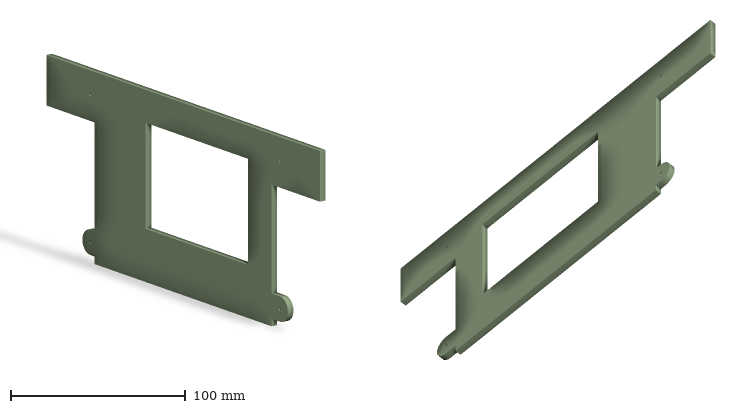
import cadquery as cq

length = 255.0
height = 114.2
thickness = 4.0

bar_height = 30.0
body_left = 45.0
body_width = 165.0

window_left = 92.5
window_bottom = 31.5
window_width = 95.0
window_height = 63.0

ear_height = 15.0
ear_center_height = 12.0
ear_radius = ear_height / 2

hole_diameter = 2.0
hole_left = 41.0
hole_spacing = 176.5
bar_hole_height = 100.0


def plate(left, bottom, width, tall):
    """Rectangular plate with its lower left corner at (left, bottom) in XZ."""
    return cq.Workplane("XY").box(width, thickness, tall, centered=False).translate((left, 0, bottom))


def cylinder(x, z, diameter):
    """Cylinder along Y spanning the plate thickness."""
    face = cq.Workplane("XZ").center(x, z)
    return face.circle(diameter / 2).extrude(-thickness)


bar = plate(0, height - bar_height, length, bar_height)
body = plate(body_left, 0, body_width, height)
result = bar.union(body)

ear_xs = (hole_left, hole_left + hole_spacing)
result = result.union(plate(hole_left, ear_center_height - ear_radius, hole_spacing, ear_height))
for x in ear_xs:
    result = result.union(cylinder(x, ear_center_height, ear_height))

result = result.cut(plate(window_left, window_bottom, window_width, window_height))

for x in ear_xs:
    for z in (ear_center_height, bar_hole_height):
        result = result.cut(cylinder(x, z, hole_diameter))